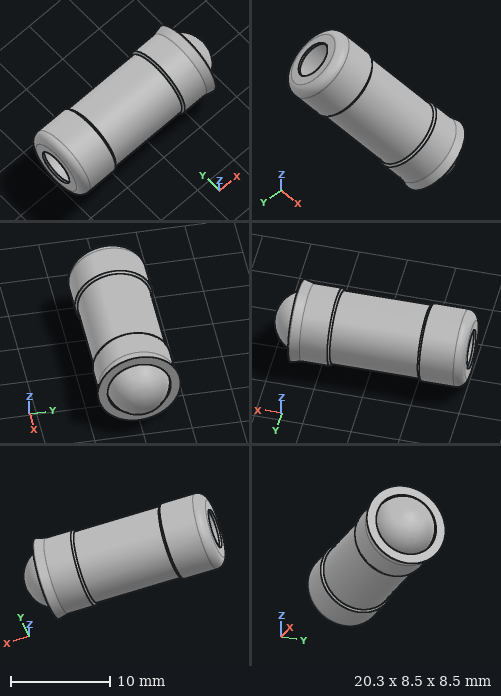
import cadquery as cq

overall_length = 20.3
sleeve_length = 18.0

body_radius = 4.0
neck_radius = 3.78
shoulder_bevel = body_radius - neck_radius
end_round = 1.0
rear_collar_end = 4.7
front_collar_start = 13.78
flare_start = 16.9
flare_diameter = 8.5
flare_radius = flare_diameter / 2
rim_width = 0.1

ball_radius = 3.25
bore_radius = ball_radius
mouth_radius = 1.99
lip_thickness = 0.25
ball_center_x = overall_length - ball_radius


def make_sleeve():
    """Turned sleeve: rounded end, relieved neck, flared rim and stepped bore."""
    round_mid_offset = end_round * (1 - 0.5**0.5)
    profile = (
        cq.Workplane("XY")
        .moveTo(0, mouth_radius)
        .lineTo(0, body_radius - end_round)
        .threePointArc(
            (round_mid_offset, body_radius - round_mid_offset),
            (end_round, body_radius),
        )
        .lineTo(rear_collar_end - shoulder_bevel, body_radius)
        .lineTo(rear_collar_end, neck_radius)
        .lineTo(front_collar_start, neck_radius)
        .lineTo(front_collar_start + shoulder_bevel, body_radius)
        .lineTo(flare_start, body_radius)
        .lineTo(sleeve_length - rim_width, flare_radius)
        .lineTo(sleeve_length, flare_radius)
        .lineTo(sleeve_length, bore_radius)
        .lineTo(lip_thickness, bore_radius)
        .lineTo(lip_thickness, mouth_radius)
        .close()
    )
    return profile.revolve(360, (0, 0, 0), (1, 0, 0))


def make_ball():
    """Ball that fits the bore and stands out of the flared end."""
    return cq.Workplane("XY").sphere(ball_radius).translate((ball_center_x, 0, 0))


sleeve = make_sleeve()
ball = make_ball()

result = cq.Compound.makeCompound([sleeve.val(), ball.val()])